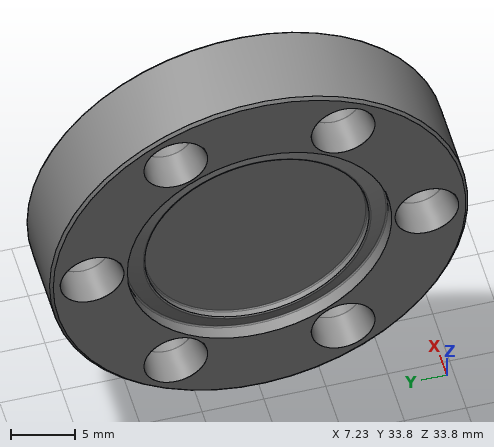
import cadquery as cq

flange_radius = 16.9
flange_thickness = 7.23
rim_chamfer = 0.25

recess_radius = 10.67
recess_depth = 1.25
knife_radius = 9.05
knife_depth = 0.65
center_depth = 1.4
recess_fillet = 0.1

bolt_count = 6
bolt_circle_radius = 13.5
hole_front_radius = 2.57
hole_back_radius = 2.2
hole_taper_depth = 2.87

back_x = flange_thickness / 2
face_x = -back_x


def revolve_about_x(profile):
    return cq.Workplane("XY").polyline(profile).close().revolve(360, (0, 0, 0), (1, 0, 0))


def make_disc():
    disc = cq.Workplane("YZ", origin=(face_x, 0, 0)).circle(flange_radius).extrude(flange_thickness)
    return disc.faces("<X or >X").edges().chamfer(rim_chamfer)


def make_recess():
    """Revolved cut: outer wall, slope up to the knife edge, then drop to the center floor."""
    profile = [
        (face_x, 0),
        (face_x, recess_radius),
        (face_x + recess_depth, recess_radius),
        (face_x + knife_depth, knife_radius),
        (face_x + center_depth, knife_radius),
        (face_x + center_depth, 0),
    ]
    buried_edges = cq.selectors.BoxSelector(
        (face_x + knife_depth / 2, -flange_radius, -flange_radius),
        (back_x, flange_radius, flange_radius),
        boundingbox=True,
    )
    return revolve_about_x(profile).edges(buried_edges).edges("%CIRCLE").fillet(recess_fillet)


def make_bolt_hole():
    """Cut for one bolt: a cone from the sealing face, then a straight bore out of the back."""
    profile = [
        (face_x, 0),
        (face_x, hole_front_radius),
        (face_x + hole_taper_depth, hole_back_radius),
        (back_x, hole_back_radius),
        (back_x, 0),
    ]
    return revolve_about_x(profile).translate((0, bolt_circle_radius, 0))


result = make_disc().cut(make_recess())
bolt_hole = make_bolt_hole()
for index in range(bolt_count):
    angle = index * 360 / bolt_count
    result = result.cut(bolt_hole.rotate((0, 0, 0), (1, 0, 0), angle))